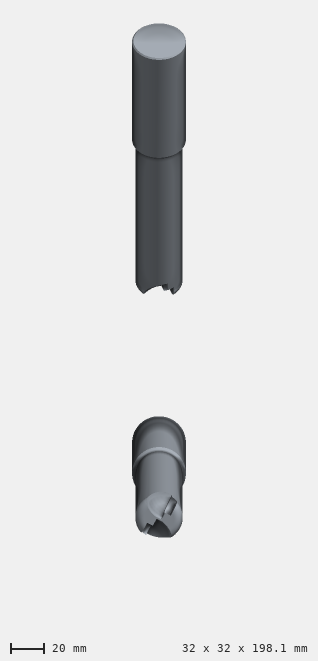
import cadquery as cq
import math

TOTAL_LENGTH = 198.1
SHANK_RADIUS = 16.0
SHANK_LENGTH = 80.0
TOP_CHAMFER = 0.8
SHOULDER_HEIGHT = 2.5
NECK_RADIUS = 13.95

NOSE_RADIUS = 14.1
CORNER_RADIUS = 5.0
NOSE_FLARE_HEIGHT = 1.2

INSERT_RADIUS = 6.0
INSERT_CENTRE_X = SHANK_RADIUS - INSERT_RADIUS
INSERT_CENTRE_Z = 3.6
SEAT_FLOOR_Y = 5.2

GULLET_BALL_RADIUS = 15.0
GULLET_CENTRE_X = 15.2
GULLET_CENTRE_Z = -1.3
GULLET_WALL_Y = 1.4
CORE_HALF_WIDTH = 0.43


def tool_body():
    """Shank, neck and rounded nose, revolved about Z with the nose end on Z = 0."""
    shank_bottom = TOTAL_LENGTH - SHANK_LENGTH
    flat_radius = NOSE_RADIUS - CORNER_RADIUS
    corner_mid_offset = CORNER_RADIUS * math.sqrt(0.5)
    return (
        cq.Workplane("XZ")
        .lineTo(flat_radius, 0)
        .threePointArc(
            (flat_radius + corner_mid_offset, CORNER_RADIUS - corner_mid_offset),
            (NOSE_RADIUS, CORNER_RADIUS),
        )
        .lineTo(NECK_RADIUS, CORNER_RADIUS + NOSE_FLARE_HEIGHT)
        .lineTo(NECK_RADIUS, shank_bottom - SHOULDER_HEIGHT)
        .lineTo(SHANK_RADIUS, shank_bottom)
        .lineTo(SHANK_RADIUS, TOTAL_LENGTH - TOP_CHAMFER)
        .lineTo(SHANK_RADIUS - TOP_CHAMFER, TOTAL_LENGTH)
        .lineTo(0, TOTAL_LENGTH)
        .close()
        .revolve(360, (0, 0, 0), (0, 1, 0))
    )


def gullet():
    """Ball cut on the +X side, stopped by a wall facing -Y and by a flat on the core."""
    ball = (
        cq.Workplane("XY")
        .sphere(GULLET_BALL_RADIUS)
        .translate((GULLET_CENTRE_X, 0, GULLET_CENTRE_Z))
    )
    keep_size = 4 * GULLET_BALL_RADIUS
    keep = (
        cq.Workplane("XY")
        .box(keep_size, keep_size, keep_size, centered=(False, False, True))
        .translate((CORE_HALF_WIDTH, GULLET_WALL_Y - keep_size, 0))
    )
    return ball.intersect(keep)


def insert_seat():
    """Round pocket on the +X side, sunk into the gullet wall along +Y."""
    return (
        cq.Workplane("XZ", origin=(INSERT_CENTRE_X, SEAT_FLOOR_Y, INSERT_CENTRE_Z))
        .circle(INSERT_RADIUS)
        .extrude(SEAT_FLOOR_Y - GULLET_WALL_Y)
    )


result = tool_body()
for turn in (0, 180):
    for cutter in (gullet(), insert_seat()):
        result = result.cut(cutter.rotate((0, 0, 0), (0, 0, 1), turn))